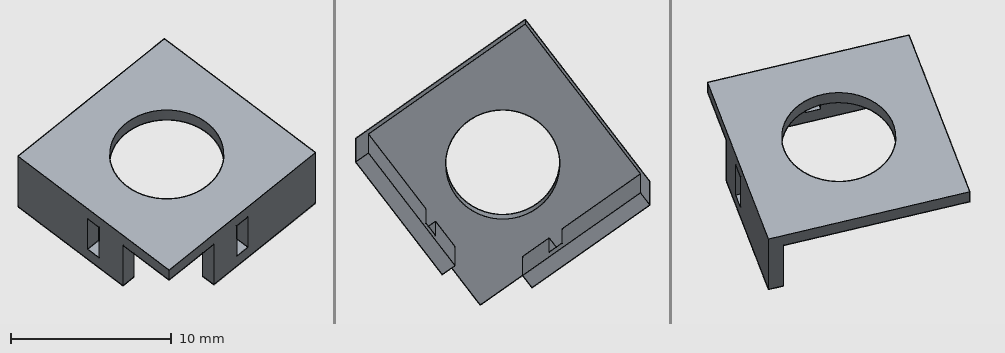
import cadquery as cq

side = 13.1
height = 5.0
thickness = 1.0
hole_diameter = 7.1
wall_length = 9.1
slot_width = 1.0
slot_height = 3.0

plate_bottom = height - thickness


def block(x, y, z, length, width, tall):
    """Box with its lowest corner at (x, y, z)."""
    return cq.Workplane("XY").box(length, width, tall, centered=False).translate((x, y, z))


plate = block(0, 0, plate_bottom, side, side, thickness)
opening = (
    cq.Workplane("XY", origin=(side / 2, side / 2, plate_bottom))
    .circle(hole_diameter / 2)
    .extrude(thickness)
)
plate = plate.cut(opening)

slot_start = (side - slot_width) / 2
slot_bottom = plate_bottom - slot_height

front_wall = block(0, 0, 0, wall_length, thickness, plate_bottom)
front_slot = block(slot_start, 0, slot_bottom, slot_width, thickness, slot_height)
front_wall = front_wall.cut(front_slot)

wall_x = side - thickness
side_wall = block(wall_x, side - wall_length, 0, thickness, wall_length, plate_bottom)
side_slot = block(wall_x, slot_start, slot_bottom, thickness, slot_width, slot_height)
side_wall = side_wall.cut(side_slot)

result = plate.union(front_wall).union(side_wall)